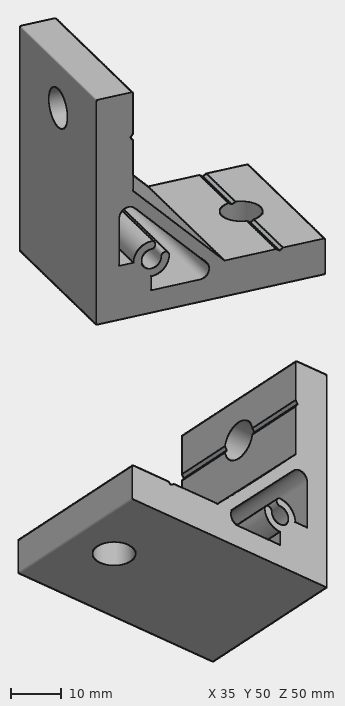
import cadquery as cq
import math

width = 35.0
leg_length = 50.0
leg_thickness = 8.0
edge_fillet = 0.35

web_intercept = 36.0
web_thickness = 2.5
window_wall = 5.0
window_fillet = 2.0

block_size = 12.0
channel_outer_radius = 3.9
channel_inner_radius = 2.15

hole_diameter = 8.5
hole_distance = 40.0
groove_half_width = 0.75
groove_depth = 0.5


def extrude_profile(sketch):
    """Extrude a YZ profile over the full width."""
    return sketch.extrude(width)


def bracket_body():
    web_end = web_intercept - leg_thickness
    outline = [
        (0, 0),
        (leg_length, 0),
        (leg_length, leg_thickness),
        (web_end, leg_thickness),
        (leg_thickness, web_end),
        (leg_thickness, leg_length),
        (0, leg_length),
    ]
    body = extrude_profile(cq.Workplane("YZ").polyline(outline).close())
    return body.faces(">Y or >Z").edges("|X").fillet(edge_fillet)


def window():
    inner_intercept = web_intercept - web_thickness * math.sqrt(2)
    far_corner = inner_intercept - window_wall
    corners = [
        (window_wall, window_wall),
        (far_corner, window_wall),
        (window_wall, far_corner),
    ]
    triangle = extrude_profile(cq.Workplane("YZ").polyline(corners).close())
    return triangle.edges("|X").edges(">Y or >Z").fillet(window_fillet)


def corner_block():
    return extrude_profile(cq.Workplane("YZ").rect(block_size, block_size, centered=False))


def screw_channel():
    """Three-quarter ring about the block corner, with rounded lips at its open ends."""
    middle_radius = (channel_outer_radius + channel_inner_radius) / 2
    lip_radius = (channel_outer_radius - channel_inner_radius) / 2
    plane = cq.Workplane("YZ").center(block_size, block_size)
    ring = extrude_profile(plane.circle(channel_outer_radius))
    opening = extrude_profile(plane.rect(block_size, block_size, centered=False))
    lips = extrude_profile(plane.pushPoints([(middle_radius, 0), (0, middle_radius)]).circle(lip_radius))
    return ring.cut(opening).union(lips)


def screw_bore():
    return extrude_profile(cq.Workplane("YZ").center(block_size, block_size).circle(channel_inner_radius))


def marking_groove():
    """V-groove across the top of the horizontal leg."""
    points = [
        (hole_distance - groove_half_width, leg_thickness),
        (hole_distance, leg_thickness - groove_depth),
        (hole_distance + groove_half_width, leg_thickness),
    ]
    return extrude_profile(cq.Workplane("YZ").polyline(points).close())


def bolt_hole():
    """Vertical hole through the horizontal leg."""
    return cq.Workplane("XY").center(width / 2, hole_distance).circle(hole_diameter / 2).extrude(leg_thickness)


def on_upright_leg(cutter):
    """Swap Y and Z: a half turn about the y = z diagonal, which the X-symmetric cutters allow."""
    return cutter.rotate((width / 2, 0, 0), (width / 2, 0.5, 0.5), 180)


result = bracket_body().cut(window()).union(corner_block()).union(screw_channel()).cut(screw_bore())
for cutter in (marking_groove(), bolt_hole()):
    result = result.cut(cutter).cut(on_upright_leg(cutter))